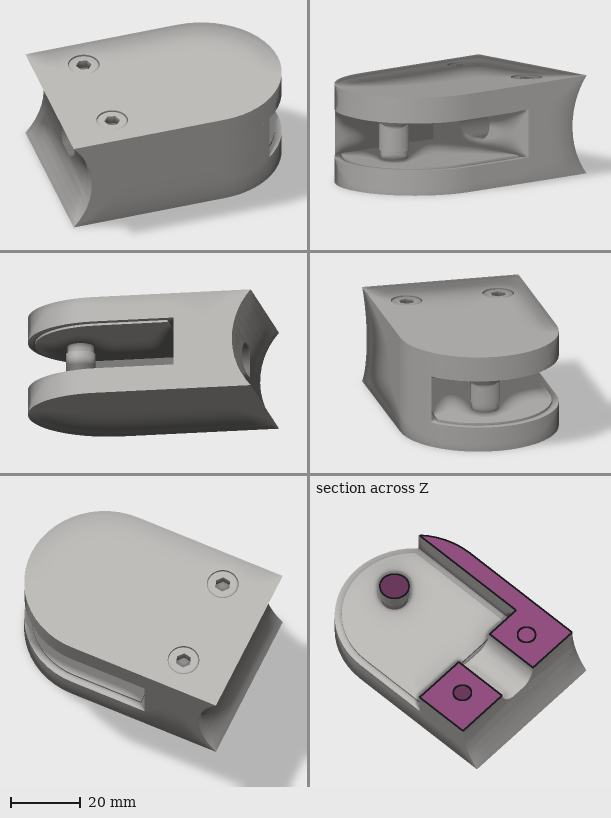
import cadquery as cq
import math

LENGTH = 68.5
WIDTH = 46.0
HEIGHT = 28.5
END_RADIUS = WIDTH / 2
FRONT_Y = END_RADIUS - LENGTH
MID_Z = HEIGHT / 2
TUBE_RADIUS = 21.25

PLATE_THICKNESS = 7.25
JAW_HEIGHT = HEIGHT - 2 * PLATE_THICKNESS
COVER_Z = HEIGHT - PLATE_THICKNESS
BLOCK_FACE_Y = -END_RADIUS
WALL_THICKNESS = 5.5
WALL_FACE_X = END_RADIUS - WALL_THICKNESS

SLOT_WIDTH = 12.9
SLOT_HEIGHT = 9.05

PAD_THICKNESS = 0.65
PAD_MARGIN = 2.05

PIN_Y = 8.0
PIN_DIAMETER = 7.7
COLLAR_DIAMETER = 8.5
COLLAR_HEIGHT = 8.0

SCREW_X = 13.5
SCREW_Y = FRONT_Y + 14.5
HEAD_DIAMETER = 9.05
HEAD_HEIGHT = 5.0
HEAD_FILLET = 0.6
HEAD_RECESS = 0.2
SHANK_DIAMETER = 5.0
SHANK_LENGTH = 16.0
SOCKET_FLATS = 4.0
SOCKET_DEPTH = 2.55
SOCKET_ANGLE = 19.5

HEAD_TOP_Z = HEIGHT - HEAD_RECESS
HEAD_SEAT_Z = HEAD_TOP_Z - HEAD_HEIGHT
SCREW_TIP_Z = HEAD_SEAT_Z - SHANK_LENGTH


def tongue(radius, straight_end_y, bottom_z, height):
    """Plate with one round end about the Z axis and straight sides running to straight_end_y."""
    return (
        cq.Workplane("XY", origin=(0, 0, bottom_z))
        .moveTo(-radius, straight_end_y)
        .lineTo(radius, straight_end_y)
        .lineTo(radius, 0)
        .threePointArc((0, radius), (-radius, 0))
        .close()
        .extrude(height)
    )


def cylinder(x, y, bottom_z, diameter, height):
    return cq.Workplane("XY", origin=(x, y, bottom_z)).circle(diameter / 2).extrude(height)


def make_saddle():
    """Tube-shaped cutter whose surface passes through the front top and bottom edges."""
    axis_y = FRONT_Y - math.sqrt(TUBE_RADIUS**2 - MID_Z**2)
    return (
        cq.Workplane("YZ", origin=(0, axis_y, MID_Z))
        .circle(TUBE_RADIUS)
        .extrude(WIDTH, both=True)
    )


def screw_blank(x, head_top_z):
    """Plain screw shape, also used as the cutter for the screw's counterbored hole."""
    shank = cylinder(x, SCREW_Y, SCREW_TIP_Z, SHANK_DIAMETER, SHANK_LENGTH)
    head = cylinder(x, SCREW_Y, HEAD_SEAT_Z, HEAD_DIAMETER, head_top_z - HEAD_SEAT_Z)
    return shank.union(head)


def cut_screw_holes(body):
    for x in (-SCREW_X, SCREW_X):
        body = body.cut(screw_blank(x, HEIGHT))
    return body


def make_base():
    """Lower plate, block and side wall in one piece."""
    base = tongue(END_RADIUS, FRONT_Y, 0, COVER_Z)
    jaw = (
        cq.Workplane("XY", origin=(0, 0, PLATE_THICKNESS))
        .moveTo(-END_RADIUS, BLOCK_FACE_Y)
        .lineTo(WALL_FACE_X, BLOCK_FACE_Y)
        .lineTo(WALL_FACE_X, END_RADIUS)
        .lineTo(-END_RADIUS, END_RADIUS)
        .close()
        .extrude(JAW_HEIGHT)
    )
    slot = (
        cq.Workplane("XZ", origin=(0, BLOCK_FACE_Y, MID_Z))
        .slot2D(SLOT_WIDTH, SLOT_HEIGHT)
        .extrude(BLOCK_FACE_Y - FRONT_Y)
    )
    return cut_screw_holes(base.cut(jaw).cut(slot).cut(make_saddle()))


def make_cover():
    cover = tongue(END_RADIUS, FRONT_Y, COVER_Z, PLATE_THICKNESS)
    return cut_screw_holes(cover.cut(make_saddle()))


def make_pad(bottom_z):
    """Thin liner set in by the same margin from the plate edge, the block and the side wall."""
    edge_x = WALL_FACE_X - PAD_MARGIN
    pad = tongue(END_RADIUS - PAD_MARGIN, BLOCK_FACE_Y + PAD_MARGIN, bottom_z, PAD_THICKNESS)
    wall_side = (
        cq.Workplane("XY", origin=(edge_x, 0, bottom_z))
        .rect(WIDTH, 2 * WIDTH)
        .extrude(PAD_THICKNESS)
        .translate((WIDTH / 2, 0, 0))
    )
    return pad.cut(wall_side)


def make_pin():
    """Round pin with a wider collar at mid height, reaching from pad to pad."""
    pin_height = JAW_HEIGHT - 2 * PAD_THICKNESS
    shaft = cylinder(0, PIN_Y, MID_Z - pin_height / 2, PIN_DIAMETER, pin_height)
    collar = cylinder(0, PIN_Y, MID_Z - COLLAR_HEIGHT / 2, COLLAR_DIAMETER, COLLAR_HEIGHT)
    return shaft.union(collar)


def make_screw(x):
    socket_corners = SOCKET_FLATS / math.cos(math.radians(30))
    socket = (
        cq.Workplane("XY")
        .polygon(6, socket_corners)
        .extrude(-SOCKET_DEPTH)
        .rotate((0, 0, 0), (0, 0, 1), SOCKET_ANGLE)
        .translate((x, SCREW_Y, HEAD_TOP_Z))
    )
    rounded = screw_blank(x, HEAD_TOP_Z).faces(">Z").edges().fillet(HEAD_FILLET)
    return rounded.cut(socket)


base = make_base()
cover = make_cover()
pads = [make_pad(z) for z in (PLATE_THICKNESS, COVER_Z - PAD_THICKNESS)]
pin = make_pin()
screws = [make_screw(x) for x in (-SCREW_X, SCREW_X)]

result = cq.Compound.makeCompound(
    [base.val(), cover.val(), pin.val()]
    + [pad.val() for pad in pads]
    + [screw.val() for screw in screws]
)